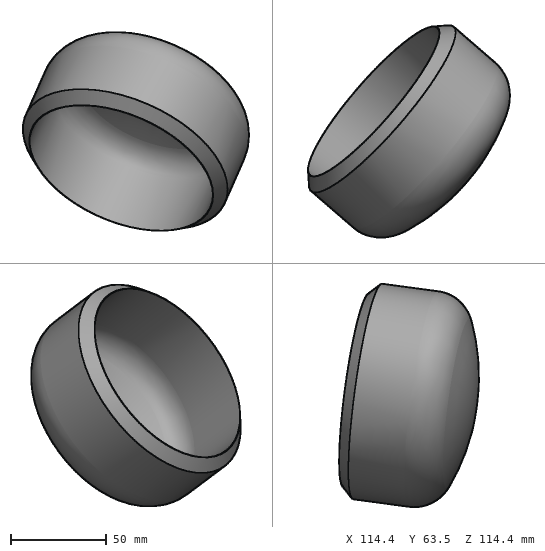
import cadquery as cq
import math

outer_radius = 57.2
wall = 6.1
total_length = 63.5
straight_length = 35.9
knuckle_radius = 20.0
bevel_length = 6.1
rim_land = 0.2

inner_radius = outer_radius - wall
rim_y = -total_length / 2
knuckle_y = rim_y + straight_length
dome_height = total_length - straight_length
knuckle_center_x = outer_radius - knuckle_radius

crown_radius = (dome_height**2 + knuckle_center_x**2 - knuckle_radius**2) / (
    2 * (dome_height - knuckle_radius)
)
crown_center_y = knuckle_y + dome_height - crown_radius
tangent_angle = math.asin(knuckle_center_x / (crown_radius - knuckle_radius))
knuckle_mid_angle = (tangent_angle + math.pi / 2) / 2


def crown_point(offset, angle):
    """Point on the crown arc, moved inward by offset."""
    radius = crown_radius - offset
    return (radius * math.sin(angle), crown_center_y + radius * math.cos(angle))


def knuckle_point(offset, angle):
    """Point on the knuckle arc, moved inward by offset."""
    radius = knuckle_radius - offset
    return (knuckle_center_x + radius * math.sin(angle), knuckle_y + radius * math.cos(angle))


profile = (
    cq.Workplane("XY")
    .moveTo(inner_radius, rim_y)
    .lineTo(inner_radius + rim_land, rim_y)
    .lineTo(outer_radius, rim_y + bevel_length)
    .lineTo(outer_radius, knuckle_y)
    .threePointArc(knuckle_point(0, knuckle_mid_angle), crown_point(0, tangent_angle))
    .threePointArc(crown_point(0, tangent_angle / 2), crown_point(0, 0))
    .lineTo(*crown_point(wall, 0))
    .threePointArc(crown_point(wall, tangent_angle / 2), crown_point(wall, tangent_angle))
    .threePointArc(knuckle_point(wall, knuckle_mid_angle), (inner_radius, knuckle_y))
    .close()
)

result = profile.revolve(360, (0, 0, 0), (0, 1, 0))